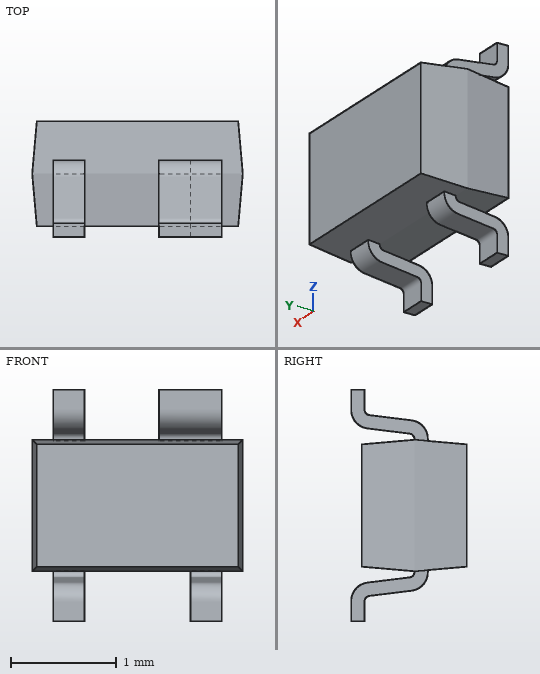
import cadquery as cq
import math

body_width = 2.0
body_height = 1.25
body_depth = 0.999
draft_angle = 5

lead_span = 2.2
lead_thickness = 0.13
narrow_lead_width = 0.3
wide_lead_width = 2 * narrow_lead_width
lead_outer_edge = 0.8
foot_face_y = -0.6
foot_straight = 0.191
slope_angle = math.radians(7)
inner_radius = 0.05
outer_radius = inner_radius + lead_thickness
buried_length = 0.175
lead_root_z = body_height / 2 - buried_length


def body_half(direction):
    """Half of the body, narrowing from the parting plane toward -Y (1) or +Y (-1)."""
    return (
        cq.Workplane("XZ")
        .rect(body_width, body_height)
        .extrude(direction * body_depth / 2, taper=draft_angle)
    )


def polar(center, radius, angle):
    return (center[0] + radius * math.cos(angle), center[1] + radius * math.sin(angle))


def lead_profile():
    """Upper lead outline in the YZ plane, with concentric arcs at both bends."""
    foot_tip_z = lead_span / 2
    foot_inner_y = foot_face_y + lead_thickness
    foot_center = (foot_inner_y + inner_radius, foot_tip_z - foot_straight)
    knee_y = -inner_radius
    center_run = knee_y - foot_center[0]
    strip_offset = inner_radius + outer_radius
    center_rise = (strip_offset + center_run * math.sin(slope_angle)) / math.cos(slope_angle)
    knee_center = (knee_y, foot_center[1] - center_rise)

    knee_end = math.pi / 2 - slope_angle
    knee_mid = knee_end / 2
    foot_end = knee_end + math.pi
    foot_mid = knee_mid + math.pi

    return (
        cq.Workplane("YZ")
        .moveTo(lead_thickness, lead_root_z)
        .lineTo(*polar(knee_center, outer_radius, 0))
        .threePointArc(
            polar(knee_center, outer_radius, knee_mid),
            polar(knee_center, outer_radius, knee_end),
        )
        .lineTo(*polar(foot_center, inner_radius, foot_end))
        .threePointArc(
            polar(foot_center, inner_radius, foot_mid),
            polar(foot_center, inner_radius, math.pi),
        )
        .lineTo(foot_inner_y, foot_tip_z)
        .lineTo(foot_face_y, foot_tip_z)
        .lineTo(*polar(foot_center, outer_radius, math.pi))
        .threePointArc(
            polar(foot_center, outer_radius, foot_mid),
            polar(foot_center, outer_radius, foot_end),
        )
        .lineTo(*polar(knee_center, inner_radius, knee_end))
        .threePointArc(
            polar(knee_center, inner_radius, knee_mid),
            polar(knee_center, inner_radius, 0),
        )
        .lineTo(0, lead_root_z)
        .close()
    )


def upper_lead(left_x, width):
    return lead_profile().extrude(width).translate((left_x, 0, 0))


left_lead = upper_lead(-lead_outer_edge, narrow_lead_width)
wide_lead = upper_lead(lead_outer_edge - wide_lead_width, wide_lead_width)
right_lead = upper_lead(lead_outer_edge - narrow_lead_width, narrow_lead_width)

result = body_half(1).union(body_half(-1)).union(left_lead).union(wide_lead)
for lead in (left_lead, right_lead):
    result = result.union(lead.mirror("XY"))